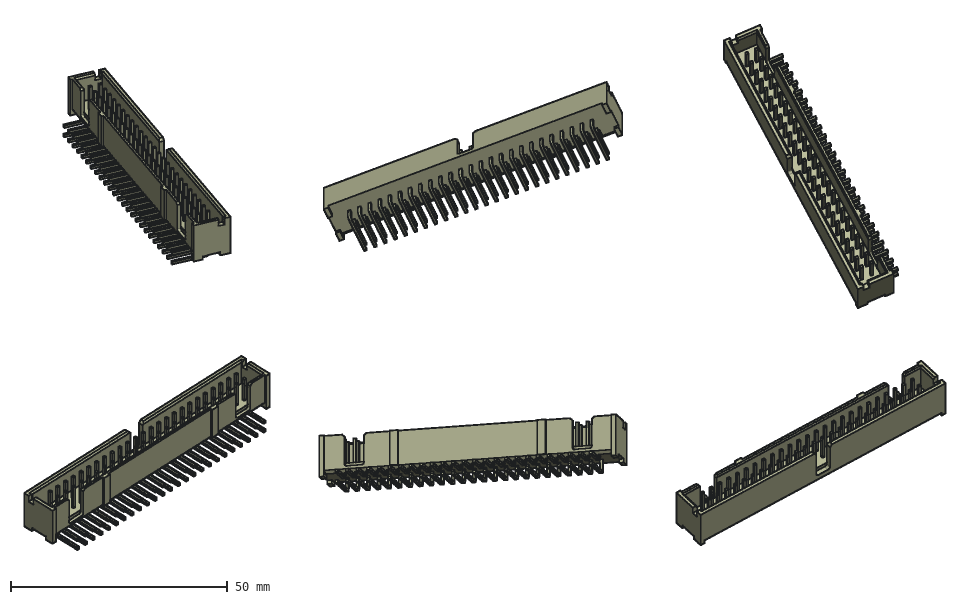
import cadquery as cq

length = 71.1
shell_depth = 9.25
body_depth = 8.75
body_height = 8.95
cavity_depth = 6.6
end_wall = 1.3
back_wall = 1.3
front_wall = 0.9
end_rim = 0.85
back_rim = 0.85
front_rim = 0.65
lead_in_height = 0.4
bottom_bevel = 0.7

foot_height = 0.85
foot_width = 1.15
back_foot_depth = 2.55
front_foot_depth = 2.3

pad_center = 17.7
pad_width = 1.9

slot_center = 27.3
slot_width = 4.7
slot_depth = 7.55
slot_flare = 0.6
key_width = 4.0
key_flare = 0.65
notch_corner = 0.6
end_notch_start = 1.5
end_notch_width = 1.5
end_notch_depth = 1.7

pins_per_row = 25
pitch = 2.54
pin_size = 0.65
pin_bend = 0.4
pin_top = 0.4
overall_depth = 12.6
overall_height = 12.45
back_row = 3.4
front_row = back_row + pitch
back_row_drop = overall_height - pin_size / 2
front_row_drop = back_row_drop - pitch

boss_top_width = 1.2

leg_height = body_height + foot_height


def block(width, front, back, bottom, top, center_x=0.0):
    """Box given by its distances from the back face and below the rim."""
    return (
        cq.Workplane("XY")
        .box(width, front - back, bottom - top, centered=(True, False, False))
        .translate((center_x, -front, -bottom))
    )


def make_cavity():
    floor_width = length - 2 * end_wall
    floor_back = back_wall
    floor_front = body_depth - front_wall
    mouth_width = length - 2 * end_rim
    mouth_front = body_depth - front_rim
    straight = block(floor_width, floor_front, floor_back, cavity_depth, 0)
    lead_in = (
        cq.Workplane("XY")
        .workplane(offset=-lead_in_height)
        .center(0, -(floor_front + floor_back) / 2)
        .rect(floor_width, floor_front - floor_back)
        .workplane(offset=lead_in_height)
        .center(0, (floor_front + floor_back - mouth_front - back_rim) / 2)
        .rect(mouth_width, mouth_front - back_rim)
        .loft(ruled=True)
    )
    return straight.union(lead_in)


def make_notch(center_x, width, flare, front, back):
    """Wall opening with rounded lower corners and a flared mouth."""
    half = width / 2
    straight = block(width, front, back, slot_depth, 0, center_x)
    straight = straight.edges("|Y and <Z").fillet(notch_corner)
    mouth = (
        cq.Workplane("XZ", origin=(center_x, -back, 0))
        .polyline([(-half - flare, 0), (half + flare, 0), (half, -flare), (-half, -flare)])
        .close()
        .extrude(front - back)
    )
    return straight.union(mouth)


def make_housing():
    body = block(length, body_depth, 0, body_height, 0)
    body = body.edges("<Y and <Z").chamfer(bottom_bevel)

    pad_height = body_height - bottom_bevel
    for side in (-1, 1):
        pad_x = side * pad_center
        body = body.union(block(pad_width, shell_depth, 0, pad_height, 0, pad_x))

    for side in (-1, 1):
        foot_x = side * (length - foot_width) / 2
        body = body.union(block(foot_width, back_foot_depth, 0, leg_height, 0, foot_x))
        post_back = shell_depth - front_foot_depth
        body = body.union(block(foot_width, shell_depth, post_back, leg_height, 0, foot_x))

    body = body.cut(make_cavity())
    body = body.cut(make_notch(0, key_width, key_flare, back_wall, 0))
    slot_back = body_depth - front_wall
    for side in (-1, 1):
        slot = make_notch(side * slot_center, slot_width, slot_flare, shell_depth, slot_back)
        body = body.cut(slot)
    end_notch_front = end_notch_start + end_notch_width
    return body.cut(block(length, end_notch_front, end_notch_start, end_notch_depth, 0))


def make_pin(row, drop):
    """Square pin running down through the floor and bent toward the front."""
    bend = pin_bend + pin_size / 2
    path = (
        cq.Workplane("YZ")
        .moveTo(-row, -pin_top)
        .lineTo(-row, bend - drop)
        .radiusArc((-row - bend, -drop), bend)
        .lineTo(-overall_depth, -drop)
    )
    return (
        cq.Workplane("XY", origin=(0, -row, -pin_top))
        .rect(pin_size, pin_size)
        .sweep(path)
    )


def make_boss():
    """Tapered filler inside the pin bend, from the underside to the pin, its front flush with the bevel."""
    half_top = boss_top_width / 2
    half_pin = pin_size / 2
    boss_back = front_row + pin_size / 2
    bevel_foot = body_depth - bottom_bevel
    boss = (
        cq.Workplane("XZ", origin=(0, -boss_back, 0))
        .polyline([
            (-half_top, -body_height),
            (half_top, -body_height),
            (half_pin, -front_row_drop),
            (-half_pin, -front_row_drop),
        ])
        .close()
        .extrude(bevel_foot - boss_back)
    )
    drop = front_row_drop - body_height
    trim = (
        cq.Workplane("YZ")
        .polyline([
            (-bevel_foot, -body_height),
            (drop - bevel_foot, -front_row_drop),
            (-bevel_foot, -front_row_drop),
        ])
        .close()
        .extrude(boss_top_width, both=True)
    )
    return boss.cut(trim)


def make_pin_column():
    rows = make_pin(front_row, front_row_drop).union(make_pin(back_row, back_row_drop))
    return rows.union(make_boss())


result = make_housing()
pin_column = make_pin_column()
for index in range(pins_per_row):
    pin_x = (index - (pins_per_row - 1) / 2) * pitch
    result = result.union(pin_column.translate((pin_x, 0, 0)))